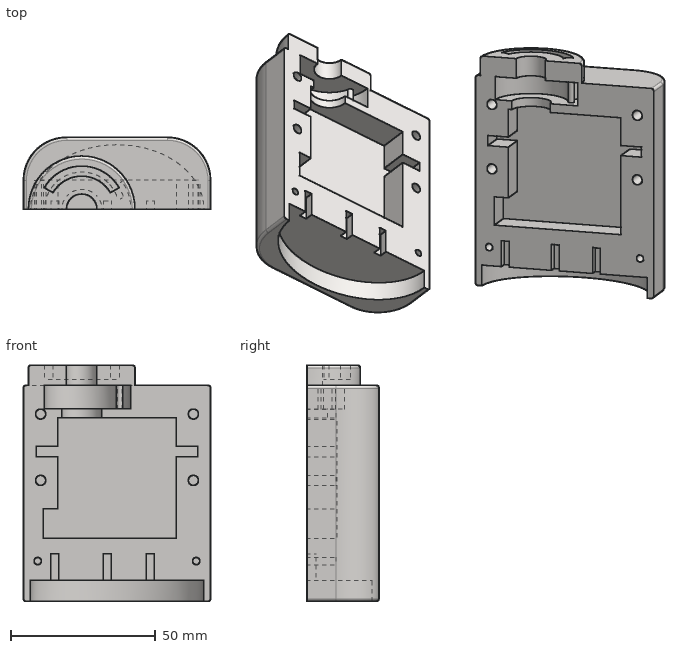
import cadquery as cq
import math

body_width = 65.0
body_depth = 25.0
body_height = 75.0
corner_radius = 15.0
edge_radius = 1.0

dial_x = -12.25
boss_radius = 18.5
boss_height = 7.0
total_height = body_height + boss_height
shaft_radius = 5.3

slot_inner_radius = 11.5
slot_outer_radius = 15.0
slot_depth = 5.0
slot_start_angle = 30.0
slot_end_angle = 180.0 - slot_start_angle

chamber_radius = 13.0
chamber_height = 8.2
chamber_floor = body_height - chamber_height
tongue_thickness = 2.0
tongue_angle = 20.0
nose_radius = 1.1
groove_width = 2.0
groove_end_angle = 35.0
neck_radius = 7.0

pocket_width = 41.0
pocket_depth = 10.3
pocket_bottom = 22.0
pocket_top = 63.7
step_width = 5.1
step_top = 32.1
wing_span = 56.0
wing_bottom = 50.2
wing_top = 53.8

screw_diameter = 3.5
screw_depth = 10.0
screw_spacing = 53.0
screw_heights = (42.0, 65.0)
pin_diameter = 2.5
pin_depth = 10.0
pin_spacing = 55.0
pin_height = 14.0

recess_width = 60.2
recess_reach = 22.5
recess_height = 7.4
wire_slot_width = 2.8
wire_slot_depth = 3.0
wire_slot_top = 16.6
wire_slot_centres = (-21.6, -3.4, 11.6)


def box(x_min, x_max, depth, z_min, z_max):
    """Block that starts at the joint face and reaches `depth` into the body."""
    return cq.Workplane("XY").box(
        x_max - x_min, depth, z_max - z_min, centered=False
    ).translate((x_min, 0, z_min))


def dial_cylinder(radius, z_min, z_max):
    """Upright cylinder on the dial axis."""
    return cq.Workplane("XY", origin=(dial_x, 0, z_min)).circle(radius).extrude(z_max - z_min)


def dial_point(radius, angle):
    """Point at a polar position around the dial axis, relative to that axis."""
    turn = math.radians(angle)
    return (radius * math.cos(turn), radius * math.sin(turn))


def dial_sector(inner, outer, start, end, z_min, z_max):
    """Part of a ring around the dial axis, between two angles."""
    middle = (start + end) / 2
    return (
        cq.Workplane("XY", origin=(dial_x, 0, z_min))
        .moveTo(*dial_point(inner, start))
        .lineTo(*dial_point(outer, start))
        .threePointArc(dial_point(outer, middle), dial_point(outer, end))
        .lineTo(*dial_point(inner, end))
        .threePointArc(dial_point(inner, middle), dial_point(inner, start))
        .close()
        .extrude(z_max - z_min)
    )


def make_body():
    """Solid block with rounded back corners and rounded top and bottom rims."""
    body = (
        box(-body_width / 2, body_width / 2, body_depth, 0, body_height)
        .edges("|Z and >Y")
        .fillet(corner_radius)
    )
    rims = body.faces("<Z or >Z").edges("not <Y")
    return rims.fillet(edge_radius)


def make_boss():
    """Half-round boss, rooted in the body down to the chamber floor."""
    boss = dial_cylinder(boss_radius, chamber_floor, total_height)
    boss = boss.faces(">Z").edges().fillet(edge_radius)
    behind_joint = box(-body_width / 2, body_width / 2, body_depth, 0, total_height)
    return boss.intersect(behind_joint)


def make_chamber():
    """Dial chamber and relief groove, less the round nose that ends the tongue between them."""
    tongue_mid_radius = chamber_radius + tongue_thickness / 2
    groove_inner = chamber_radius + tongue_thickness
    groove_outer = groove_inner + groove_width
    levels = (chamber_floor, body_height)
    mouth_inner = chamber_radius / 2
    mouth = dial_sector(mouth_inner, groove_outer, 0, tongue_angle, *levels)
    groove = dial_sector(groove_inner, groove_outer, 0, groove_end_angle, *levels)
    nose_x, nose_y = dial_point(tongue_mid_radius, tongue_angle)
    tongue_nose = (
        cq.Workplane("XY", origin=(dial_x + nose_x, nose_y, chamber_floor))
        .circle(nose_radius)
        .extrude(chamber_height)
    )
    return dial_cylinder(chamber_radius, *levels).union(mouth).union(groove).cut(tongue_nose)


def make_pocket():
    """Main pocket with a step at its lower left and a wing on each side."""
    half = pocket_width / 2
    pocket = box(-half, half, pocket_depth, pocket_bottom, pocket_top)
    step = box(-half - step_width, half, pocket_depth, pocket_bottom, step_top)
    wings = box(-wing_span / 2, wing_span / 2, pocket_depth, wing_bottom, wing_top)
    return pocket.union(step).union(wings)


def make_hole(x, z, diameter, depth):
    """Blind hole bored from the joint face into the body."""
    return cq.Workplane("XZ", origin=(x, 0, z)).circle(diameter / 2).extrude(-depth)


def make_recess():
    """Elliptical recess in the bottom end, centred on the joint face."""
    return cq.Workplane("XY").ellipse(recess_width / 2, recess_reach).extrude(recess_height)


def make_dial_slot():
    """Blind arc-shaped slot in the top of the boss."""
    return dial_sector(
        slot_inner_radius,
        slot_outer_radius,
        slot_start_angle,
        slot_end_angle,
        total_height - slot_depth,
        total_height,
    )


def make_wire_slot(centre):
    """Narrow slot from the recess up the joint face."""
    half = wire_slot_width / 2
    return box(centre - half, centre + half, wire_slot_depth, 0, wire_slot_top)


result = make_body().union(make_boss())

result = result.cut(make_dial_slot())
result = result.cut(dial_cylinder(shaft_radius, body_height, total_height))
result = result.cut(make_chamber())
result = result.cut(dial_cylinder(neck_radius, pocket_top, chamber_floor))

result = result.cut(make_pocket())
result = result.cut(make_recess())
for slot_centre in wire_slot_centres:
    result = result.cut(make_wire_slot(slot_centre))

for side in (-1, 1):
    for screw_height in screw_heights:
        screw_hole = make_hole(side * screw_spacing / 2, screw_height, screw_diameter, screw_depth)
        result = result.cut(screw_hole)
    result = result.cut(make_hole(side * pin_spacing / 2, pin_height, pin_diameter, pin_depth))